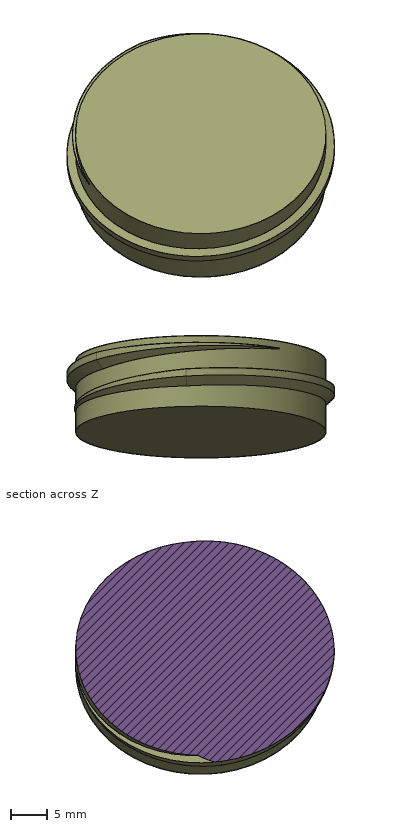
import cadquery as cq
import math

core_radius = 34.5 / 2
core_height = 9.95

crest_radius = 18.43
thread_depth = crest_radius - core_radius
flank_height = 1.15
crest_height = 1.05
top_rise = 0.2
thread_height = flank_height + crest_height + top_rise
pitch = 4.28
root_overlap = 0.37

taper_angle = 90
lead_in_angle = 135
full_start_angle = lead_in_angle + taper_angle
full_end_angle = 540
lead_out_angle = full_end_angle + taper_angle

start_height = 2.88
end_height = start_height + pitch * (full_end_angle - full_start_angle) / 360
tip_scale = 0.06
tip_end_height = end_height + thread_height * (1 - tip_scale)

STEPS = 24


def thread_profile(scale, bottom):
    """Corners (radius, height) of the thread section at a given size."""
    crest = core_radius + scale * thread_depth
    root = core_radius - root_overlap
    root_bottom = bottom - root_overlap * flank_height / thread_depth
    crest_bottom = bottom + scale * flank_height
    root_top = bottom + scale * thread_height + root_overlap * top_rise / thread_depth
    return [
        (root, root_bottom),
        (crest, crest_bottom),
        (crest, crest_bottom + scale * crest_height),
        (root, root_top),
    ]


def at_angle(radius, angle, height):
    turn = math.radians(angle)
    return cq.Vector(radius * math.cos(turn), radius * math.sin(turn), height)


def corner_curve(start_angle, start_corner, end_angle, end_corner):
    """Curve whose radius and height change evenly with the angle."""
    points = []
    for step in range(STEPS + 1):
        t = step / STEPS
        angle = start_angle + t * (end_angle - start_angle)
        radius, height = [a + t * (b - a) for a, b in zip(start_corner, end_corner)]
        points.append(at_angle(radius, angle, height))
    return cq.Edge.makeSpline(points)


def end_cap(angle, profile):
    corners = [at_angle(radius, angle, height) for radius, height in profile]
    return cq.Face.makeFromWires(cq.Wire.makePolygon(corners, close=True))


def thread_section(start_angle, start_profile, end_angle, end_profile):
    """Solid length of thread between two profiles."""
    curves = [
        corner_curve(start_angle, start_corner, end_angle, end_corner)
        for start_corner, end_corner in zip(start_profile, end_profile)
    ]
    faces = [
        cq.Face.makeRuledSurface(curve, following)
        for curve, following in zip(curves, curves[1:] + curves[:1])
    ]
    faces.append(end_cap(start_angle, start_profile))
    faces.append(end_cap(end_angle, end_profile))
    return cq.Solid.makeSolid(cq.Shell.makeShell(faces)).fix()


stations = [
    (lead_in_angle, thread_profile(tip_scale, start_height)),
    (full_start_angle, thread_profile(1, start_height)),
    (full_end_angle, thread_profile(1, end_height)),
    (lead_out_angle, thread_profile(tip_scale, tip_end_height)),
]

result = cq.Workplane("XY").circle(core_radius).extrude(core_height)
for start, end in zip(stations, stations[1:]):
    result = result.union(cq.Workplane(obj=thread_section(*start, *end)))